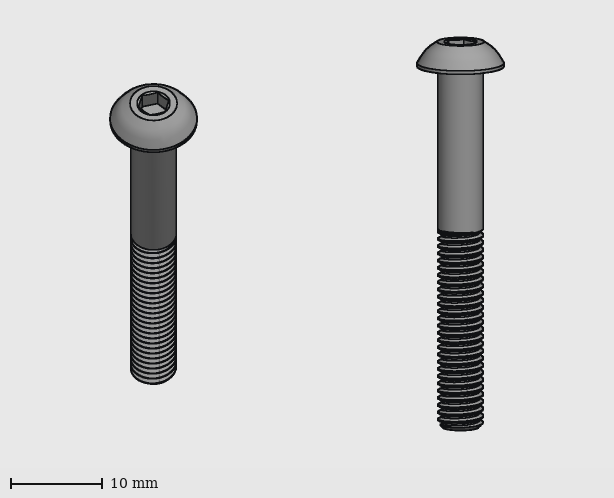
import cadquery as cq
import math

total_length = 42.75
head_radius = 4.75
head_height = 2.75
head_top_radius = 2.55
head_band_height = 0.4
head_dome_bulge = 0.25

shank_diameter = 5.0
shank_radius = shank_diameter / 2
thread_length = 22.0
thread_turns = 27.5
pitch = thread_length / thread_turns
tip_chamfer = 0.55

flank_angle = math.radians(30)
crest_width = pitch / 8
root_width = pitch / 4
groove_width = pitch - crest_width
thread_depth = (groove_width - root_width) / 2 / math.tan(flank_angle)
groove_phase = 0.4
runout_turns = 2
bore_radius = 0.85
core_radius = 1.3
envelope_margin = 0.43

socket_width = 3.0
socket_corner_diameter = socket_width / math.cos(math.radians(30))
socket_depth = 1.85
socket_mouth_radius = 1.8
socket_mouth_depth = 0.13

tip_z = head_height - total_length
thread_top_z = tip_z + thread_length


def make_head():
    """Domed head with a narrow cylindrical band at its underside."""
    dome_width = head_radius - head_top_radius
    dome_height = head_height - head_band_height
    chord = math.hypot(dome_width, dome_height)
    dome_middle = (
        (head_radius + head_top_radius) / 2 + head_dome_bulge * dome_height / chord,
        (head_height + head_band_height) / 2 + head_dome_bulge * dome_width / chord,
    )
    return (
        cq.Workplane("XZ")
        .lineTo(head_radius, 0)
        .lineTo(head_radius, head_band_height)
        .threePointArc(dome_middle, (head_top_radius, head_height))
        .lineTo(0, head_height)
        .close()
        .revolve(360, (0, 0, 0), (0, 1, 0))
    )


def make_socket():
    """Hexagonal socket, corners along Y, with a conical lead-in at its mouth."""
    hexagon = (
        cq.Workplane("XY", origin=(0, 0, head_height))
        .transformed(rotate=(0, 0, 90))
        .polygon(6, socket_corner_diameter)
        .extrude(-socket_depth)
    )
    lead_in = (
        cq.Workplane("XY", origin=(0, 0, head_height))
        .circle(socket_mouth_radius)
        .workplane(offset=-socket_mouth_depth)
        .circle(socket_width / 2)
        .loft()
    )
    return hexagon.union(lead_in)


def make_thread_sleeve():
    """Right-handed threaded tube, longer than the thread, built face by face in half turns.

    The thread profile spans one pitch, so the top edge of each turn is the bottom edge of the next.
    """
    start_z = tip_z + (groove_phase - runout_turns) * pitch
    turns = math.ceil(thread_turns) + 2 * runout_turns
    root_radius = shank_radius - thread_depth
    profile = [
        (root_radius, -root_width / 2),
        (root_radius, root_width / 2),
        (shank_radius, groove_width / 2),
        (shank_radius, groove_width / 2 + crest_width),
        (root_radius, pitch - root_width / 2),
    ]
    bore_low = (bore_radius, profile[0][1])
    bore_high = (bore_radius, profile[-1][1])

    def half_turn_helix(radius, z, half_turn):
        center = cq.Vector(0, 0, start_z + z + half_turn * pitch / 2)
        helix = cq.Wire.makeHelix(pitch, pitch / 2, radius, center)
        return helix.rotate(cq.Vector(0, 0, 0), cq.Vector(0, 0, 1), 180 * half_turn)

    def ruled_face(first, second, half_turn):
        return cq.Face.makeRuledSurface(
            half_turn_helix(*first, half_turn), half_turn_helix(*second, half_turn)
        )

    def radial_end(turn):
        outline = [bore_low, *profile, bore_high]
        points = [cq.Vector(radius, 0, start_z + z + turn * pitch) for radius, z in outline]
        return cq.Face.makeFromWires(cq.Wire.makePolygon(points, close=True))

    faces = [radial_end(0), radial_end(turns)]
    for half_turn in range(2 * turns):
        for lower, upper in zip(profile, profile[1:]):
            faces.append(ruled_face(lower, upper, half_turn))
        faces.append(ruled_face(bore_low, bore_high, half_turn))
    for half_turn in range(2):
        faces.append(ruled_face(bore_low, profile[0], half_turn))
        faces.append(ruled_face(bore_high, profile[-1], half_turn + 2 * (turns - 1)))
    return cq.Workplane(cq.Solid.makeSolid(cq.Shell.makeShell(faces)))


def make_threaded_end():
    """Thread trimmed square at the shank and conical at the tip, with its bore filled."""
    tip_plane = cq.Workplane("XY", origin=(0, 0, tip_z))
    envelope = (
        tip_plane.circle(shank_radius + envelope_margin)
        .extrude(thread_length)
        .faces("<Z")
        .chamfer(tip_chamfer + envelope_margin)
    )
    core = tip_plane.circle(core_radius).extrude(thread_length)
    return make_thread_sleeve().intersect(envelope).union(core)


shank = cq.Workplane("XY", origin=(0, 0, thread_top_z)).circle(shank_radius).extrude(-thread_top_z)
result = make_head().cut(make_socket()).union(shank).union(make_threaded_end())